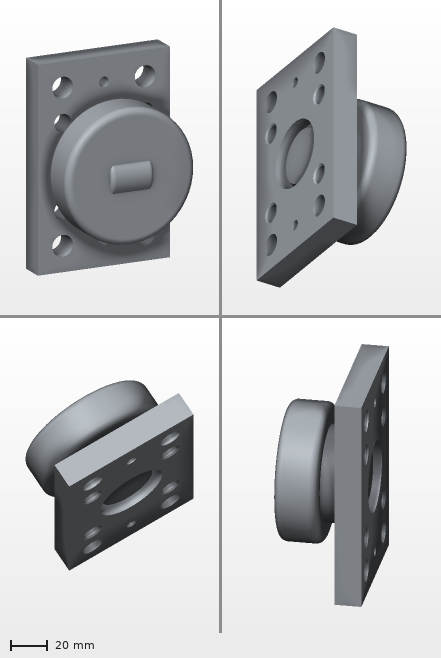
import cadquery as cq
import math

PLATE_HEIGHT = 120.0
PLATE_WIDTH = PLATE_HEIGHT * 2 / 3
PLATE_THICKNESS = 15.0

HUB_DIAMETER = 54.0
ROLLER_DIAMETER = 78.0
ROLLER_BACK = 25.5
ROLLER_FRONT = 49.2
ROLLER_FILLET = 4.0
OVERALL_DEPTH = 52.0

AXIAL_ROLLER_RADIUS = 13.2
AXIAL_ROLLER_LENGTH = 25.9
AXIAL_ROLLER_FILLET = 2.6

BORE_DIAMETER = 40.0
BORE_DEPTH = 8.0
PIN_DIAMETER = 36.0
PIN_CHAMFER_WIDTH = 2.0
PIN_CHAMFER_ANGLE = 30.0
PIN_CHAMFER_LENGTH = PIN_CHAMFER_WIDTH / math.tan(math.radians(PIN_CHAMFER_ANGLE))
PIN_LENGTH = 4.0

HOLE_OFFSET_Y = 25.0
OUTER_HOLE_Z = 45.0
INNER_HOLE_Z = HOLE_OFFSET_Y
MOUNTING_HOLE_DIAMETER = 12.5
DOWEL_HOLE_DIAMETER = 6.0
THREADED_HOLE_DIAMETER = 10.2
THREADED_HOLE_MOUTH = 12.0


def disc(diameter, start, end):
    """Cylinder along X between two X positions."""
    return cq.Workplane("YZ", origin=(start, 0, 0)).circle(diameter / 2).extrude(end - start)


def four_corners(y, z):
    return [(sy * y, sz * z) for sy in (-1, 1) for sz in (-1, 1)]


def through_holes(points, diameter):
    return cq.Workplane("YZ").pushPoints(points).circle(diameter / 2).extrude(PLATE_THICKNESS)


def make_plate():
    plate = cq.Workplane("YZ").rect(PLATE_WIDTH, PLATE_HEIGHT).extrude(PLATE_THICKNESS)

    mounting_points = four_corners(HOLE_OFFSET_Y, OUTER_HOLE_Z)
    plate = plate.cut(through_holes(mounting_points, MOUNTING_HOLE_DIAMETER))

    dowel_points = [(0, -OUTER_HOLE_Z), (0, OUTER_HOLE_Z)]
    plate = plate.cut(through_holes(dowel_points, DOWEL_HOLE_DIAMETER))

    countersink = (THREADED_HOLE_MOUTH - THREADED_HOLE_DIAMETER) / 2
    threaded_points = four_corners(HOLE_OFFSET_Y, INNER_HOLE_Z)
    threaded_holes = through_holes(threaded_points, THREADED_HOLE_DIAMETER)
    for y, z in threaded_points:
        mouth = (
            cq.Workplane("YZ", origin=(0, y, z))
            .circle(THREADED_HOLE_MOUTH / 2)
            .workplane(offset=countersink)
            .circle(THREADED_HOLE_DIAMETER / 2)
            .loft(ruled=True)
        )
        threaded_holes = threaded_holes.union(mouth)
    plate = plate.cut(threaded_holes)

    return plate.cut(disc(BORE_DIAMETER, 0, BORE_DEPTH))


def make_pin():
    pin = disc(PIN_DIAMETER, BORE_DEPTH - PIN_LENGTH, PLATE_THICKNESS)
    return pin.faces("<X").chamfer(PIN_CHAMFER_LENGTH, PIN_CHAMFER_WIDTH)


def make_guide_roller():
    hub = disc(HUB_DIAMETER, PLATE_THICKNESS, ROLLER_FRONT)
    roller = disc(ROLLER_DIAMETER, ROLLER_BACK, ROLLER_FRONT)
    return roller.edges("%CIRCLE").fillet(ROLLER_FILLET).union(hub)


def make_axial_roller():
    return (
        cq.Workplane("XZ", origin=(OVERALL_DEPTH - AXIAL_ROLLER_RADIUS, 0, 0))
        .circle(AXIAL_ROLLER_RADIUS)
        .extrude(AXIAL_ROLLER_LENGTH / 2, both=True)
        .edges("%CIRCLE")
        .fillet(AXIAL_ROLLER_FILLET)
    )


result = make_plate().union(make_pin()).union(make_guide_roller()).union(make_axial_roller())